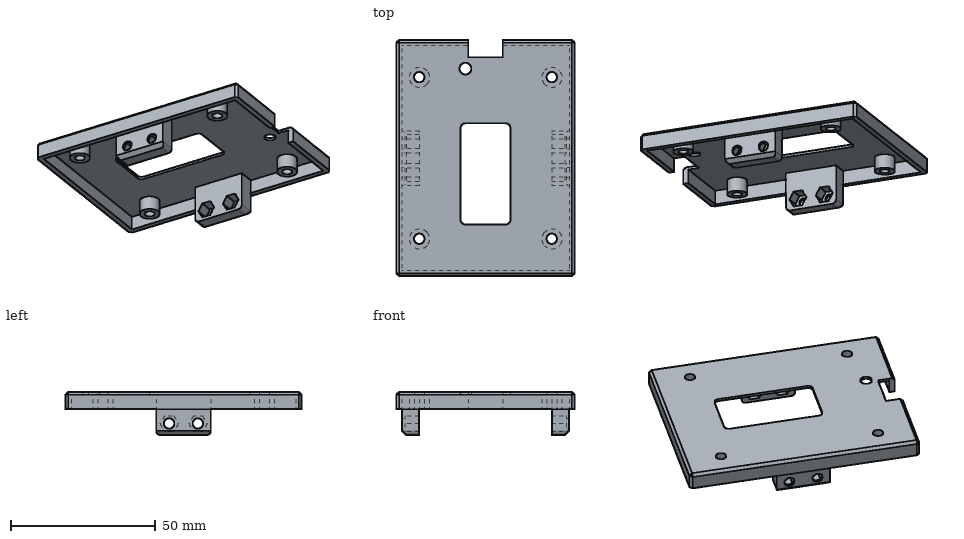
import cadquery as cq
import math

tray_width = 62.0
tray_length = 82.0
tray_height = 6.0
edge_chamfer = 1.0
wall = 2.0
top_thickness = 1.0

screw_spacing_x = 46.0
screw_spacing_y = 56.1
screw_diameter = 3.5
boss_diameter = 7.0

window_width = 17.2
window_y_min = -23.05
window_y_max = 12.0
window_radius = 1.6
notch_width = 12.0
notch_depth = 6.0
cable_hole_diameter = 4.0
cable_hole_x = -7.0
cable_hole_y = 31.0

lug_thickness = 6.0
lug_length = 19.0
lug_drop = 9.0
lug_edge_size = 1.5
lug_hole_diameter = 3.5
lug_hole_spacing = 10.0
lug_hole_drop = 5.0
nut_across_flats = 5.5
nut_seat_thickness = 1.0

lug_outer_x = tray_width / 2 - wall
lug_inner_x = lug_outer_x - lug_thickness
lug_bottom_z = -tray_height - lug_drop


def tray_shell():
    """Chamfered block hollowed from below."""
    block = (
        cq.Workplane("XY")
        .box(tray_width, tray_length, tray_height, centered=(True, True, False))
        .translate((0, 0, -tray_height))
        .edges("|Z or >Z")
        .chamfer(edge_chamfer)
    )
    cavity_depth = tray_height - top_thickness
    cavity = (
        cq.Workplane("XY")
        .box(tray_width - 2 * wall, tray_length - 2 * wall, cavity_depth, centered=(True, True, False))
        .translate((0, 0, -tray_height))
    )
    return block.cut(cavity)


def screw_cylinders(diameter):
    """Four full-height cylinders at the screw positions."""
    return (
        cq.Workplane("XY")
        .rarray(screw_spacing_x, screw_spacing_y, 2, 2)
        .circle(diameter / 2)
        .extrude(-tray_height)
    )


def window():
    """Rounded rectangular opening through the top."""
    return (
        cq.Workplane("XY")
        .center(0, (window_y_min + window_y_max) / 2)
        .rect(window_width, window_y_max - window_y_min)
        .extrude(-tray_height)
        .edges("|Z")
        .fillet(window_radius)
    )


def notch():
    """Cut through the top and the rim in the middle of the +Y side."""
    return (
        cq.Workplane("XY")
        .center(0, tray_length / 2 - notch_depth / 2)
        .rect(notch_width, notch_depth)
        .extrude(-tray_height)
    )


def cable_hole():
    """Round hole beside the notch."""
    return (
        cq.Workplane("XY")
        .center(cable_hole_x, cable_hole_y)
        .circle(cable_hole_diameter / 2)
        .extrude(-tray_height)
    )


def right_lug():
    """Lug on the +X side, joined to the underside of the top."""
    profile = [
        (lug_inner_x, -top_thickness),
        (lug_outer_x, -top_thickness),
        (lug_outer_x, lug_bottom_z + lug_edge_size),
        (lug_outer_x - lug_edge_size, lug_bottom_z),
        (lug_inner_x, lug_bottom_z),
    ]
    chamfered = cq.Workplane("XZ").polyline(profile).close().extrude(lug_length / 2, both=True)
    rounded = (
        cq.Workplane("XY")
        .box(lug_thickness, lug_length, -top_thickness - lug_bottom_z, centered=(False, True, False))
        .translate((lug_inner_x, 0, lug_bottom_z))
        .edges("|X and <Z")
        .fillet(lug_edge_size)
    )
    return chamfered.intersect(rounded)


def lug_holes():
    """Two cross holes passing through both lugs."""
    return (
        cq.Workplane("YZ")
        .center(0, -tray_height - lug_hole_drop)
        .rarray(lug_hole_spacing, 0.8, 2, 1)
        .circle(lug_hole_diameter / 2)
        .extrude(tray_width / 2, both=True)
    )


def right_nut_pockets():
    """Hexagonal pockets sunk from the inner face of the +X lug, each with flats above and below."""
    nut_across_corners = nut_across_flats / math.cos(math.pi / 6)
    return (
        cq.Workplane("YZ", origin=(lug_inner_x, 0, -tray_height - lug_hole_drop))
        .rarray(lug_hole_spacing, 0.8, 2, 1)
        .polygon(6, nut_across_corners)
        .extrude(lug_thickness - nut_seat_thickness)
    )


lug = right_lug().cut(right_nut_pockets())
body = tray_shell().union(screw_cylinders(boss_diameter)).union(lug).union(lug.mirror("YZ"))
result = (
    body.cut(screw_cylinders(screw_diameter))
    .cut(window())
    .cut(notch())
    .cut(cable_hole())
    .cut(lug_holes())
)